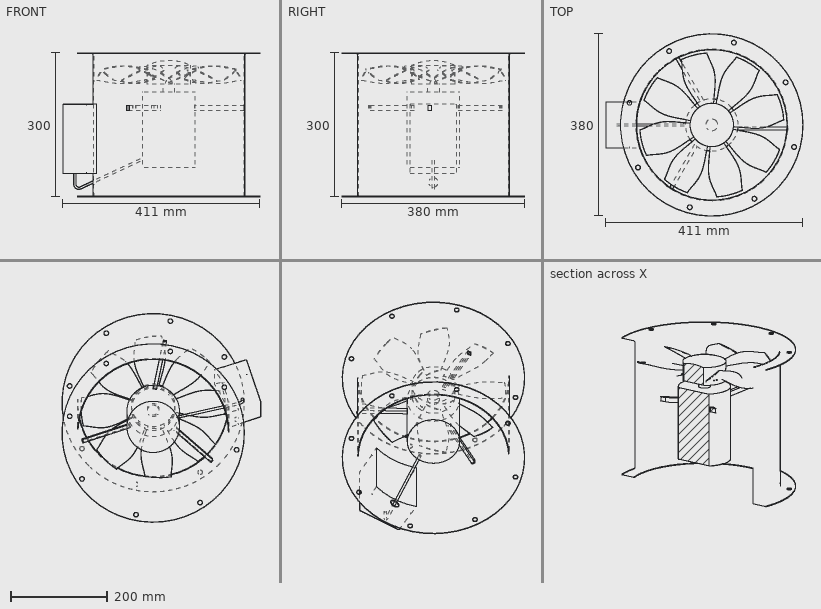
import cadquery as cq
import math

OVERALL_LENGTH = 411.0
DUCT_HEIGHT = 300.0
SHEET = 1.5
DUCT_RADIUS = 158.2
BORE_RADIUS = DUCT_RADIUS - SHEET
FLANGE_RADIUS = 380.0 / 2
BEND_INNER = 2.0
BEND_OUTER = BEND_INNER + SHEET

BOLT_COUNT = 8
BOLT_RADIUS = 177.5
BOLT_DIAMETER = 9.5
BOLT_START_ANGLE = 30.0

HUB_RADIUS = 45.2
HUB_BOTTOM = 235.0
HUB_TOP = 274.0
DOME_HEIGHT = 10.3

BLADE_COUNT = 8
BLADE_START_ANGLE = 104.5
BLADE_TIP_RADIUS = 150.5
BLADE_ROOT_RADIUS = 43.0
BLADE_THICKNESS = 2.5
BLADE_MID_Z = (HUB_BOTTOM + HUB_TOP) / 2
BLADE_STATIONS = [
    (35.0, 12.0, 7.5),
    (55.0, 19.5, 12.5),
    (74.5, 26.5, 16.0),
    (94.5, 31.5, 18.0),
    (119.0, 32.0, 16.5),
    (151.2, 28.0, 12.0),
]

MOTOR_RADIUS = 54.5
MOTOR_TOP = 219.0
MOTOR_BOTTOM = 61.5
SHAFT_RADIUS = 12.5
ARM_COUNT = 3
ARM_WIDTH = 7.0
ARM_BOTTOM = 180.5
ARM_TOP = 190.3
ARM_OFFSET = -7.5

BOX_FACE_X = FLANGE_RADIUS - OVERALL_LENGTH
BOX_WIDTH = 96.5
BOX_BOTTOM = 48.5
BOX_TOP = 193.5
COVER_DEPTH = 49.7
COVER_FILLET = 2.5

CABLE_RADIUS = 2.5
CABLE_X = -195.5
CABLE_BEND_RADIUS = 8.2
CABLE_BEND_Z = 26.5
CABLE_SLOPE = 25.0
CABLE_HOLE_Z = 30.5
CABLE_HOLE_DIAMETER = 19.5


def cylinder(radius, bottom, top):
    return cq.Workplane("XY").workplane(offset=bottom).circle(radius).extrude(top - bottom)


def make_duct():
    """Sheet-metal tube with a flange bent outward at each end."""
    bend_radius_centre = DUCT_RADIUS + BEND_INNER
    diagonal = math.sqrt(0.5)

    def bend_point(bend, from_top):
        """Point halfway round a bend, as (radius, z)."""
        radius = bend_radius_centre - bend * diagonal
        height = BEND_OUTER - bend * diagonal
        return (radius, DUCT_HEIGHT - height if from_top else height)

    profile = (
        cq.Workplane("XZ")
        .moveTo(FLANGE_RADIUS, 0)
        .lineTo(bend_radius_centre, 0)
        .threePointArc(bend_point(BEND_OUTER, False), (BORE_RADIUS, BEND_OUTER))
        .lineTo(BORE_RADIUS, DUCT_HEIGHT - BEND_OUTER)
        .threePointArc(bend_point(BEND_OUTER, True), (bend_radius_centre, DUCT_HEIGHT))
        .lineTo(FLANGE_RADIUS, DUCT_HEIGHT)
        .lineTo(FLANGE_RADIUS, DUCT_HEIGHT - SHEET)
        .lineTo(bend_radius_centre, DUCT_HEIGHT - SHEET)
        .threePointArc(bend_point(BEND_INNER, True), (DUCT_RADIUS, DUCT_HEIGHT - BEND_OUTER))
        .lineTo(DUCT_RADIUS, BEND_OUTER)
        .threePointArc(bend_point(BEND_INNER, False), (bend_radius_centre, SHEET))
        .lineTo(FLANGE_RADIUS, SHEET)
        .close()
    )
    duct = profile.revolve(360, (0, 0, 0), (0, 1, 0))
    bolt_holes = (
        cq.Workplane("XY")
        .polarArray(BOLT_RADIUS, BOLT_START_ANGLE, 360, BOLT_COUNT)
        .circle(BOLT_DIAMETER / 2)
        .extrude(DUCT_HEIGHT)
    )
    cable_hole = (
        cq.Workplane("YZ", origin=(-FLANGE_RADIUS, 0, CABLE_HOLE_Z))
        .circle(CABLE_HOLE_DIAMETER / 2)
        .extrude(FLANGE_RADIUS)
    )
    return duct.cut(bolt_holes).cut(cable_hole)


def make_hub():
    """Cylindrical hub closed by a shallow spherical dome."""
    peak_z = HUB_TOP + DOME_HEIGHT
    dome_radius = (HUB_RADIUS**2 + DOME_HEIGHT**2) / (2 * DOME_HEIGHT)
    half_radius = HUB_RADIUS / 2
    half_z = peak_z - dome_radius + math.sqrt(dome_radius**2 - half_radius**2)
    return (
        cq.Workplane("XZ")
        .moveTo(0, HUB_BOTTOM)
        .lineTo(HUB_RADIUS, HUB_BOTTOM)
        .lineTo(HUB_RADIUS, HUB_TOP)
        .threePointArc((half_radius, half_z), (0, peak_z))
        .close()
        .revolve(360, (0, 0, 0), (0, 1, 0))
    )


def make_blade():
    """One blade along +X, lofted through tilted lens-shaped sections."""
    sections = []
    for distance, half_width, half_rise in BLADE_STATIONS:
        plane = cq.Plane(
            origin=(distance, 0, BLADE_MID_Z),
            xDir=(0, half_width, half_rise),
            normal=(1, 0, 0),
        )
        half_chord = math.hypot(half_width, half_rise)
        half_thickness = BLADE_THICKNESS / 2
        lens = (
            cq.Workplane(plane)
            .moveTo(-half_chord, 0)
            .threePointArc((0, half_thickness), (half_chord, 0))
            .threePointArc((0, -half_thickness), (-half_chord, 0))
        )
        sections.append(lens.wire().val())
    foil = cq.Workplane(cq.Solid.makeLoft(sections))
    swept_ring = (
        cq.Workplane("XY")
        .circle(BLADE_TIP_RADIUS)
        .circle(BLADE_ROOT_RADIUS)
        .extrude(DUCT_HEIGHT)
    )
    return foil.intersect(swept_ring)


def make_motor():
    """Motor body, shaft and the arms that carry them in the duct wall."""
    motor = cylinder(MOTOR_RADIUS, MOTOR_BOTTOM, MOTOR_TOP)
    motor = motor.union(cylinder(SHAFT_RADIUS, MOTOR_TOP, HUB_BOTTOM))
    arm = cq.Workplane("XY").box(
        DUCT_RADIUS, ARM_WIDTH, ARM_TOP - ARM_BOTTOM, centered=(False, True, False)
    ).translate((0, ARM_OFFSET, ARM_BOTTOM))
    for i in range(ARM_COUNT):
        motor = motor.union(arm.rotate((0, 0, 0), (0, 0, 1), i * 360 / ARM_COUNT))
    return motor


def make_terminal_box():
    """Box fitted to the duct wall, with a rounded cover on its outer part."""
    height = BOX_TOP - BOX_BOTTOM
    base_x = BOX_FACE_X + COVER_DEPTH
    cover = (
        cq.Workplane("XY")
        .box(COVER_DEPTH, BOX_WIDTH, height, centered=(False, True, False))
        .edges("|X or <X")
        .fillet(COVER_FILLET)
        .translate((BOX_FACE_X, 0, BOX_BOTTOM))
    )
    base = (
        cq.Workplane("XY")
        .box(-base_x, BOX_WIDTH, height, centered=(False, True, False))
        .translate((base_x, 0, BOX_BOTTOM))
        .cut(cylinder(DUCT_RADIUS, 0, DUCT_HEIGHT))
    )
    return cover.union(base)


def make_cable():
    """Round cable that drops from the box, bends and rises straight to the motor."""
    slope = math.radians(CABLE_SLOPE)
    bend_x = CABLE_X + CABLE_BEND_RADIUS

    def bend_point(direction):
        """Point on the bend in the given direction from its centre, as (x, z)."""
        return (
            bend_x + CABLE_BEND_RADIUS * math.cos(direction),
            CABLE_BEND_Z + CABLE_BEND_RADIUS * math.sin(direction),
        )

    bend_end_direction = slope - math.pi / 2
    bend_middle = bend_point((bend_end_direction - math.pi) / 2)
    bend_end = bend_point(bend_end_direction)
    inside_motor_x = -MOTOR_RADIUS + 2 * CABLE_RADIUS
    run_end_z = bend_end[1] + (inside_motor_x - bend_end[0]) * math.tan(slope)
    path = (
        cq.Workplane("XZ")
        .moveTo(CABLE_X, BOX_BOTTOM)
        .lineTo(CABLE_X, CABLE_BEND_Z)
        .threePointArc(bend_middle, bend_end)
        .lineTo(inside_motor_x, run_end_z)
    )
    start = cq.Workplane("XY", origin=(CABLE_X, 0, BOX_BOTTOM))
    return start.circle(CABLE_RADIUS).sweep(path)


result = make_duct().union(make_motor()).union(make_hub())
blade = make_blade()
for i in range(BLADE_COUNT):
    angle = BLADE_START_ANGLE + i * 360 / BLADE_COUNT
    result = result.union(blade.rotate((0, 0, 0), (0, 0, 1), angle))
result = result.union(make_terminal_box()).union(make_cable())